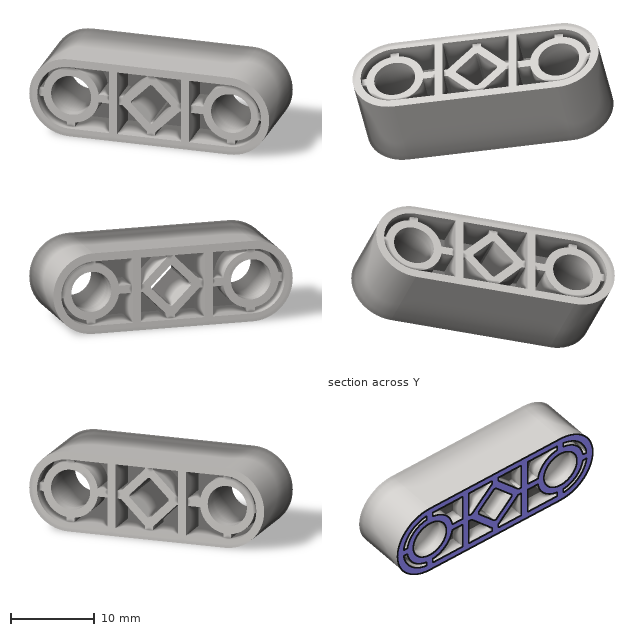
import cadquery as cq

hole_pitch = 10.0
beam_height = 10.0
beam_depth = 10.0
wall = 1.0
web = 1.0

hole_diameter = 5.0
ring_diameter = 7.0
rib_width = 1.0
hub_recess = 0.8
diamond_hole_side = 3.72
diamond_wall = 1.02

end_radius = beam_height / 2
inner_radius = end_radius - wall
beam_length = 2 * hole_pitch + beam_height
hub_depth = beam_depth - 2 * hub_recess
divider_x = hole_pitch / 2 - wall / 2
sleeve_side = diamond_hole_side + 2 * diamond_wall
end_centers = [(-hole_pitch, 0), (hole_pitch, 0)]


def profile(depth):
    """Sketch plane facing -Y, placed so an extrusion of this depth is centred on Y = 0."""
    return cq.Workplane("XZ", origin=(0, depth / 2, 0))


def diamond(side, depth):
    """Square prism standing on its corner."""
    return profile(depth).rect(side, side).extrude(depth).rotate((0, 0, 0), (0, 1, 0), 45)


def make_inside(depth):
    """Round-ended space enclosed by the outer wall."""
    return profile(depth).slot2D(beam_length - 2 * wall, 2 * inner_radius).extrude(depth)


def make_frame():
    """Round-ended outer wall, two dividers and the web across the middle."""
    outer = profile(beam_depth).slot2D(beam_length, beam_height).extrude(beam_depth)
    inside = make_inside(beam_depth)
    dividers = (
        profile(beam_depth)
        .pushPoints([(-divider_x, 0), (divider_x, 0)])
        .rect(wall, beam_height - wall)
        .extrude(beam_depth)
    )
    return outer.cut(inside).union(dividers).union(make_inside(web))


def make_hubs():
    """Rings, diamond sleeve and the cross ribs, whose ends sink halfway into the outer wall."""
    rings = profile(hub_depth).pushPoints(end_centers).circle(ring_diameter / 2).extrude(hub_depth)
    sleeve = diamond(sleeve_side, hub_depth)
    long_rib = profile(hub_depth).rect(beam_length - wall, rib_width).extrude(hub_depth)
    cross_ribs = (
        profile(hub_depth)
        .pushPoints(end_centers + [(0, 0)])
        .rect(rib_width, beam_height - wall)
        .extrude(hub_depth)
    )
    return rings.union(sleeve).union(long_rib).union(cross_ribs)


def make_holes():
    """Two round end holes and a diamond middle hole with its corners trimmed to the same diameter."""
    end_holes = profile(beam_depth).pushPoints(end_centers).circle(hole_diameter / 2).extrude(beam_depth)
    trim = profile(beam_depth).rect(hole_diameter, hole_diameter).extrude(beam_depth)
    middle_hole = diamond(diamond_hole_side, beam_depth).intersect(trim)
    return end_holes.union(middle_hole)


result = make_frame().union(make_hubs()).cut(make_holes())